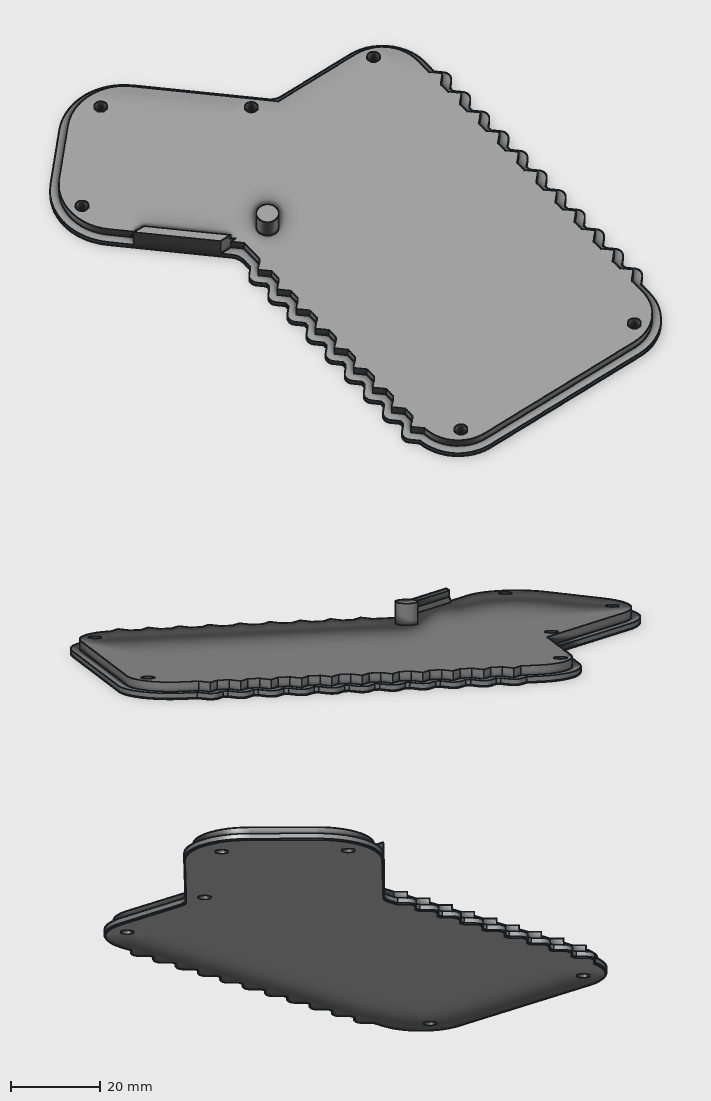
import cadquery as cq
import math

overall_length = 133.5
overall_width = 93.7

flange_height = 1.5
body_height = 3.6
bar_height = 6.0
post_height = 8.5

margin = 2.0

tooth_rise = 2.1
top_tooth_start = 45.3
top_tooth_end = 115.2
top_tooth_count = 11
tooth_pitch = (top_tooth_end - top_tooth_start) / (top_tooth_count - 1)
bottom_tooth_start = 64.0
bottom_tooth_count = 9

head_left = 27.1
head_right = overall_length
head_bottom = 25.4
head_top = overall_width - tooth_rise
head_radius = 12.0

shank_half_width = 22.3
shank_radius = 14.7
shank_end = shank_half_width - (2 - math.sqrt(2)) * shank_radius

bottom_chamfer = 0.3

neck_fillet = 4.0

hole_diameter = 3.0
hole_centres = [(32.2, 82.4), (127.4, 82.7), (127.4, 33.7), (26.7, 52.1), (6.0, 25.5), (25.6, 5.1)]

post_diameter = 5.1
post_centre = (55.7, 34.3)

bar_x_start = 40.0
bar_x_end = 54.0
bar_foot = 1.0


def diagonal_point(along, across):
    """XY position from distances along the shank (+X+Y) and across it (-X+Y)."""
    return ((along - across) / math.sqrt(2), (along + across) / math.sqrt(2))


def fillet_upright_edges(solid, points, radius):
    """Round the vertical edges that stand at the given XY points."""
    mid_height = solid.val().BoundingBox().center.z
    for x, y in points:
        nearest = cq.selectors.NearestToPointSelector((x, y, mid_height))
        solid = solid.edges("|Z").edges(nearest).fillet(radius)
    return solid


def make_teeth(first_x, count, base_y, inset, height):
    """Square posts turned by 45 degrees, centred on a long edge of the head."""
    centres = [(first_x + i * tooth_pitch, base_y) for i in range(count)]
    round_radius = margin - inset
    side = tooth_rise * math.sqrt(2) + 2 * round_radius
    tooth = cq.Workplane("XY").rect(side, side).extrude(height)
    if round_radius > 0:
        tooth = tooth.edges("|Z").fillet(round_radius)
    tooth = tooth.rotate((0, 0, 0), (0, 0, 1), 45).val()
    return cq.Workplane("XY").pushPoints(centres).eachpoint(lambda place: tooth.moved(place))


def make_layer(inset, height, corner_fillet=0):
    """Head and shank with grip teeth, its outline set in from the flange edge."""
    left = head_left + inset
    right = head_right - inset
    bottom = head_bottom + inset
    top = head_top - inset
    half_width = shank_half_width - inset
    side_offset = half_width * math.sqrt(2)

    neck_left = (left, left + side_offset)
    neck_right = (bottom + side_offset, bottom)
    head_corners = [(left, top), (right, top), (right, bottom)]
    shank_corners = [
        diagonal_point(shank_end + inset, -half_width),
        diagonal_point(shank_end + inset, half_width),
    ]
    outline = [neck_left, *head_corners, neck_right, *shank_corners]

    layer = cq.Workplane("XY").polyline(outline).close().extrude(height)
    layer = fillet_upright_edges(layer, head_corners, head_radius - inset)
    layer = fillet_upright_edges(layer, shank_corners, shank_radius - inset)
    if corner_fillet > 0:
        layer = fillet_upright_edges(layer, [neck_left, neck_right], corner_fillet)

    body_top = head_top - margin
    body_bottom = head_bottom + margin
    layer = layer.union(make_teeth(top_tooth_start, top_tooth_count, body_top, inset, height))
    return layer.union(make_teeth(bottom_tooth_start, bottom_tooth_count, body_bottom, inset, height))


def make_bar():
    """Bar flush with the flange edge, with a 45 degree foot on the body and ends square to X."""
    edge = -shank_half_width
    back = edge + margin
    profile = [
        (edge, bottom_chamfer),
        (edge, bar_height),
        (back, bar_height),
        (back, body_height + bar_foot),
        (back + bar_foot, body_height),
        (back + bar_foot, bottom_chamfer),
    ]
    across_shank = cq.Plane(origin=(0, 0, 0), xDir=(-1, 1, 0), normal=(1, 1, 0))
    full_bar = cq.Workplane(across_shank).polyline(profile).close().extrude(overall_length)
    trim = cq.Workplane("XY").box(
        bar_x_end - bar_x_start, overall_width, bar_height, centered=False
    ).translate((bar_x_start, 0, 0))
    return full_bar.intersect(trim)


flange = make_layer(inset=0, height=flange_height, corner_fillet=neck_fillet)
flange = flange.faces("<Z").chamfer(bottom_chamfer)
body = make_layer(inset=margin, height=body_height)
post = cq.Workplane("XY").center(*post_centre).circle(post_diameter / 2).extrude(post_height)
holes = cq.Workplane("XY").pushPoints(hole_centres).circle(hole_diameter / 2).extrude(body_height)

result = flange.union(body).union(make_bar()).union(post).cut(holes)